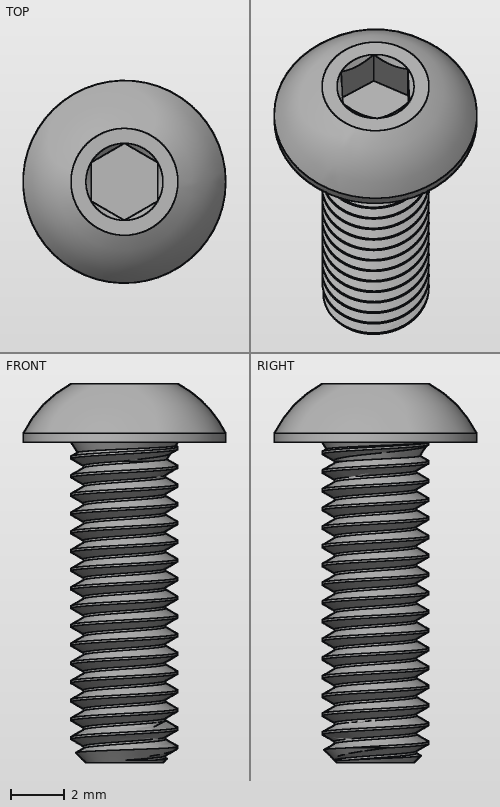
import cadquery as cq
import math

total_length = 14.2
head_height = 2.2
head_diameter = 7.6
rim_height = 0.34
shank_length = total_length - head_height

major_diameter = 4.0
minor_diameter = 3.1
tip_diameter = 2.88
counted_turns = 16
counted_turns_length = 11.2
pitch = counted_turns_length / counted_turns
crest_width = pitch / 8
flank_half_angle = math.radians(30)
crest_height_at_x = 0.58
root_overlap = 0.03
extra_turns = 2
neck_height = 0.7

socket_across_flats = 2.5
socket_depth = 1.76
socket_corner_diameter = socket_across_flats / math.cos(math.pi / 6)

head_radius = head_diameter / 2
major_radius = major_diameter / 2
minor_radius = minor_diameter / 2
flat_top_radius = major_radius


def make_head():
    """Cylindrical rim under a spherical dome centred on the axis, with a flat top."""
    rim_top = shank_length + rim_height
    dome_rise = head_height - rim_height
    center_drop = (head_radius**2 - flat_top_radius**2 + dome_rise**2) / (2 * dome_rise)
    sphere_center = total_length - center_drop
    sphere_radius = math.hypot(flat_top_radius, center_drop)
    middle_radius = (head_radius + flat_top_radius) / 2
    middle_height = sphere_center + math.sqrt(sphere_radius**2 - middle_radius**2)
    return (
        cq.Workplane("XZ")
        .moveTo(0, shank_length)
        .lineTo(head_radius, shank_length)
        .lineTo(head_radius, rim_top)
        .threePointArc((middle_radius, middle_height), (flat_top_radius, total_length))
        .lineTo(0, total_length)
        .close()
        .revolve(360, (0, 0, 0), (0, 1, 0))
    )


def make_thread_ridge():
    """Right-hand helical ridge, rooted just inside the core and passing both shank ends."""
    base_radius = minor_radius - root_overlap
    half_crest = crest_width / 2
    half_base = half_crest + (major_radius - base_radius) * math.tan(flank_half_angle)
    start = crest_height_at_x - extra_turns * pitch
    turns = math.ceil(shank_length / pitch) + 2 * extra_turns
    section = [
        (base_radius, start - half_base),
        (major_radius, start - half_crest),
        (major_radius, start + half_crest),
        (base_radius, start + half_base),
    ]
    edges = [
        cq.Wire.makeHelix(pitch, turns * pitch, radius, cq.Vector(0, 0, height))
        for radius, height in section
    ]
    next_edges = edges[1:] + edges[:1]
    faces = [cq.Face.makeRuledSurface(edge, other) for edge, other in zip(edges, next_edges)]
    for corners in ([edge.startPoint() for edge in edges], [edge.endPoint() for edge in edges]):
        faces.append(cq.Face.makeFromWires(cq.Wire.makePolygon(corners, close=True)))
    return cq.Workplane(obj=cq.Solid.makeSolid(cq.Shell.makeShell(faces)))


def make_shank():
    """Threaded rod trimmed by a 45 degree tip cone, with a neck cone under the head."""
    tip_radius = tip_diameter / 2
    trim_radius = head_radius
    core_margin = extra_turns * pitch
    core = (
        cq.Workplane("XY", origin=(0, 0, -core_margin))
        .circle(minor_radius)
        .extrude(shank_length + 2 * core_margin)
    )
    trim_body = (
        cq.Workplane("XZ")
        .lineTo(tip_radius, 0)
        .lineTo(trim_radius, trim_radius - tip_radius)
        .lineTo(trim_radius, shank_length)
        .lineTo(0, shank_length)
        .close()
        .revolve(360, (0, 0, 0), (0, 1, 0))
    )
    neck = (
        cq.Workplane("XZ")
        .moveTo(0, shank_length - neck_height)
        .lineTo(minor_radius, shank_length - neck_height)
        .lineTo(major_radius, shank_length)
        .lineTo(0, shank_length)
        .close()
        .revolve(360, (0, 0, 0), (0, 1, 0))
    )
    return core.union(make_thread_ridge()).intersect(trim_body).union(neck)


def make_socket():
    """Hexagonal pocket with a 45 degree countersink across its corners."""
    hexagon = (
        cq.Workplane("XY", origin=(0, 0, total_length))
        .polygon(6, socket_corner_diameter)
        .extrude(-socket_depth)
        .rotate((0, 0, 0), (0, 0, 1), 30)
    )
    corner_radius = socket_corner_diameter / 2
    countersink = (
        cq.Workplane("XZ")
        .moveTo(0, total_length)
        .lineTo(corner_radius, total_length)
        .lineTo(0, total_length - corner_radius)
        .close()
        .revolve(360, (0, 0, 0), (0, 1, 0))
    )
    return hexagon.union(countersink)


screw = make_shank().union(make_head())
result = screw.cut(make_socket())